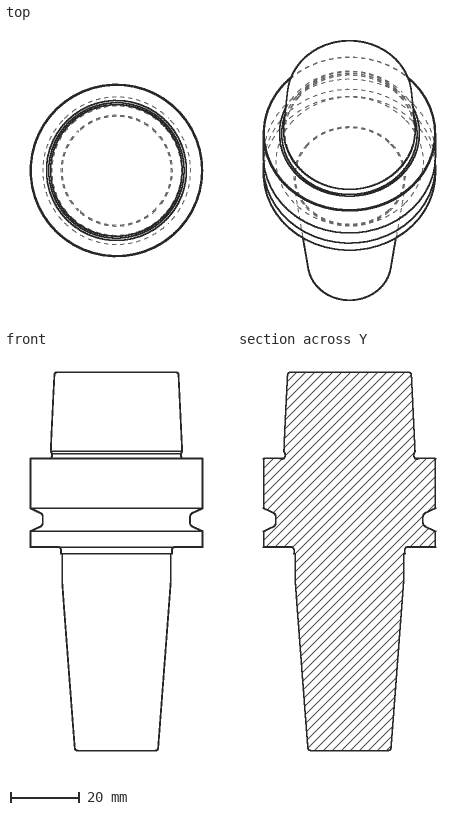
import cadquery as cq
import math

total_length = 109.9

shank_top_radius = 18.0
shank_base_radius = 19.1
shank_length = 23.0
shank_edge_fillet = 0.9

neck_radius = 18.8
neck_start_depth = 23.6
neck_end_depth = 24.3
undercut_fillet = 0.9
undercut_rim_radius = 20.3

flange_diameter = 50.0
flange_radius = flange_diameter / 2
flange_edge_chamfer = 0.2
flange_top_depth = 25.0
flange_bottom_depth = 50.8
groove_center_depth = 42.9
groove_mouth_width = 6.6
groove_floor_width = 3.3
groove_floor_radius = 21.4
groove_fillet = 1.0

collar_radius = 16.2
collar_root_fillet = 0.9
collar_end_depth = 52.8
nose_radius = 15.8
nose_taper_depth = 60.7
nose_tip_radius = 12.1
nose_edge_fillet = 0.9


def height(depth):
    """Z coordinate at a depth below the shank's top face."""
    return total_length - depth


def revolve_about_z(profile):
    """Revolve a closed (radius, z) profile about Z."""
    return profile.close().revolve(360, (0, 0, 0), (0, 1, 0))


def make_blank():
    """Shank, undercut, plain flange and nose in one revolved profile."""
    undercut_floor_radius = neck_radius + undercut_fillet
    undercut_floor_z = height(neck_end_depth + undercut_fillet)
    arc_offset = undercut_fillet * (1 - math.sqrt(0.5))
    undercut_arc_middle = (
        neck_radius + arc_offset,
        undercut_floor_z + arc_offset,
    )
    profile = (
        cq.Workplane("XZ")
        .moveTo(0, total_length)
        .lineTo(shank_top_radius, total_length)
        .lineTo(shank_base_radius, height(shank_length))
        .lineTo(neck_radius, height(neck_start_depth))
        .lineTo(neck_radius, height(neck_end_depth))
        .threePointArc(undercut_arc_middle, (undercut_floor_radius, undercut_floor_z))
        .lineTo(undercut_rim_radius, height(flange_top_depth))
        .lineTo(flange_radius - flange_edge_chamfer, height(flange_top_depth))
        .lineTo(flange_radius, height(flange_top_depth + flange_edge_chamfer))
        .lineTo(flange_radius, height(flange_bottom_depth))
        .lineTo(collar_radius, height(flange_bottom_depth))
        .lineTo(collar_radius, height(collar_end_depth))
        .lineTo(nose_radius, height(collar_end_depth))
        .lineTo(nose_radius, height(nose_taper_depth))
        .lineTo(nose_tip_radius, 0)
        .lineTo(0, 0)
    )
    return revolve_about_z(profile)


def circle_at(radius, z):
    """Select the circular edge of a radius, centred on Z, lying at height z."""
    tolerance = 0.05
    return cq.selectors.BoxSelector(
        (-radius - tolerance, -radius - tolerance, z - tolerance),
        (radius + tolerance, radius + tolerance, z + tolerance),
        boundingbox=True,
    )


def make_groove():
    """V-shaped gripper groove with a flat floor and rounded floor corners."""
    center_z = height(groove_center_depth)
    half_mouth = groove_mouth_width / 2
    half_floor = groove_floor_width / 2
    profile = (
        cq.Workplane("XZ")
        .moveTo(groove_floor_radius, center_z - half_floor)
        .lineTo(flange_radius, center_z - half_mouth)
        .lineTo(flange_radius, center_z + half_mouth)
        .lineTo(groove_floor_radius, center_z + half_floor)
    )
    groove = revolve_about_z(profile)
    for floor_edge_z in (center_z - half_floor, center_z + half_floor):
        groove = groove.edges(circle_at(groove_floor_radius, floor_edge_z)).fillet(groove_fillet)
    return groove


holder = make_blank()
holder = holder.edges(circle_at(shank_top_radius, total_length)).fillet(shank_edge_fillet)
holder = holder.edges(circle_at(nose_tip_radius, 0)).fillet(nose_edge_fillet)
holder = holder.edges(circle_at(collar_radius, height(flange_bottom_depth))).fillet(collar_root_fillet)
result = holder.cut(make_groove())